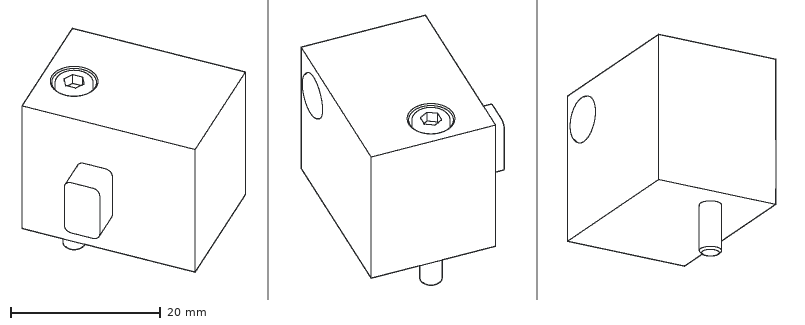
import cadquery as cq

body_x = 25.0
body_y = 17.97
body_z = 21.0

screw_x = 4.5
screw_y = 7.5
bore_diameter = 6.0
bore_depth = 3.0
bore_chamfer = 0.2
head_diameter = 5.1
head_fillet = 0.28
hex_flats = 2.5
hex_depth = 1.5
hex_turn = 30
shank_diameter = 3.0
shank_length = 6.9
shank_chamfer = 0.3

key_x = 10.5
key_z = 9.55
key_width = 5.1
key_height = 8.6
key_length = 4.5
key_radius = 1.0

boss_x = body_x - screw_x
boss_z = body_z - 5.0
boss_diameter = 6.4
boss_height = 0.5
boss_fillet = 0.47


def make_body():
    """Plain block with a chamfered bore for the screw head."""
    block = cq.Workplane("XY").box(body_x, body_y, body_z, centered=False)
    bore = (
        cq.Workplane("XY", origin=(screw_x, screw_y, body_z - bore_depth))
        .circle(bore_diameter / 2)
        .extrude(bore_depth)
    )
    rim_radius = bore_diameter / 2 + bore_chamfer
    rim = cq.Workplane(
        cq.Solid.makeCone(
            bore_diameter / 2,
            rim_radius,
            bore_chamfer,
            cq.Vector(screw_x, screw_y, body_z - bore_chamfer),
        )
    )
    return block.cut(bore).cut(rim)


def make_screw_head():
    """Head standing in the bore, flush with the top, with a hexagon socket."""
    head = (
        cq.Workplane("XY", origin=(screw_x, screw_y, body_z - bore_depth))
        .circle(head_diameter / 2)
        .extrude(bore_depth)
        .faces(">Z")
        .edges()
        .fillet(head_fillet)
    )
    socket = (
        cq.Workplane("XY", origin=(screw_x, screw_y, body_z - hex_depth))
        .transformed(rotate=(0, 0, hex_turn))
        .polygon(6, hex_flats, circumscribed=True)
        .extrude(hex_depth)
    )
    return head.cut(socket)


def make_shank():
    """Screw shank below the body, chamfered at its tip."""
    return (
        cq.Workplane("XY", origin=(screw_x, screw_y, -shank_length))
        .circle(shank_diameter / 2)
        .extrude(shank_length)
        .faces("<Z")
        .chamfer(shank_chamfer)
    )


def make_key():
    """Rounded rectangular key pointing forward."""
    return (
        cq.Workplane("XZ", origin=(key_x, 0, key_z))
        .rect(key_width, key_height)
        .extrude(key_length)
        .edges("|Y")
        .fillet(key_radius)
    )


def make_boss():
    """Round boss with a rounded outer edge, pointing backward."""
    return (
        cq.Workplane("XZ", origin=(boss_x, body_y, boss_z))
        .circle(boss_diameter / 2)
        .extrude(-boss_height)
        .faces(">Y")
        .edges()
        .fillet(boss_fillet)
    )


part = make_body()
for feature in (make_screw_head(), make_shank(), make_key(), make_boss()):
    part = part.union(feature)
result = part